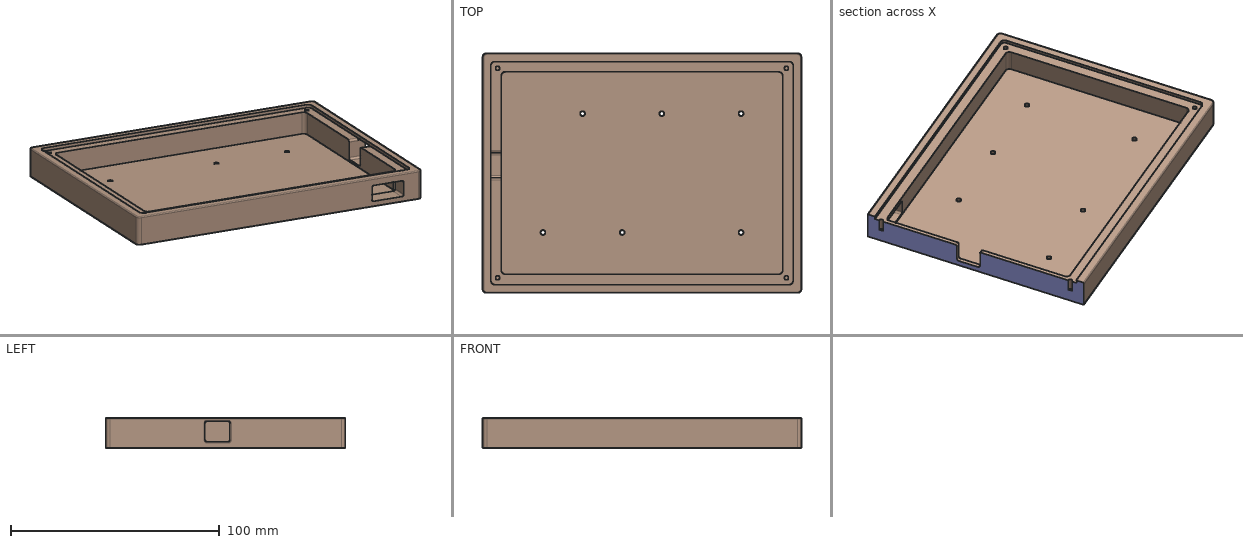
import cadquery as cq

LENGTH = 153.0
WIDTH = 115.0
HEIGHT = 14.5
CORNER_RADIUS = 2.0
EDGE_FILLET = 0.5

RIM_WIDTH = 4.0
LEDGE_DEPTH = 1.6
LEDGE_WIDTH = 5.0
FLOOR_THICKNESS = 2.0
LEDGE_Z = HEIGHT - LEDGE_DEPTH
LEDGE_LENGTH_X = LENGTH - 2 * RIM_WIDTH
LEDGE_LENGTH_Y = WIDTH - 2 * RIM_WIDTH
CAVITY_LENGTH = LEDGE_LENGTH_X - 2 * LEDGE_WIDTH
CAVITY_WIDTH = LEDGE_LENGTH_Y - 2 * LEDGE_WIDTH
WALL_THICKNESS = RIM_WIDTH + LEDGE_WIDTH

LID_HOLE_DIAMETER = 2.0
LID_HOLE_DEPTH = 6.0
LID_HOLE_X = 69.25
LID_HOLE_Y = 50.25

FLOOR_HOLE_DIAMETER = 2.2
GRID_PITCH = 19.0
FLOOR_HOLE_ROW = 1.5
FLOOR_HOLE_Y = FLOOR_HOLE_ROW * GRID_PITCH
BACK_ROW_COLUMNS = (-1.5, 0.5, 2.5)
FRONT_ROW_COLUMNS = (-2.5, -0.5, 2.5)

PORT_RADIUS = 1.0

SIDE_FACE_X = -LENGTH / 2
SIDE_PORT_WIDTH = 12.0
SIDE_PORT_BOTTOM = 3.1
SIDE_PORT_Y = 3.85

BACK_PORT_RIGHT_X = -49.65
BACK_PORT_WIDTH = 17.0
BACK_PORT_BOTTOM = 2.75
BACK_PORT_TOP = 10.75


def rounded_block(length, width, bottom, top):
    """Block centred on the Z axis with rounded vertical corners."""
    block = cq.Workplane("XY").workplane(offset=bottom).rect(length, width).extrude(top - bottom)
    return block.edges("|Z").fillet(CORNER_RADIUS)


def make_tray():
    """Stepped open tray with rounded outer rims."""
    body = rounded_block(LENGTH, WIDTH, 0, HEIGHT).faces("<Z or >Z").fillet(EDGE_FILLET)
    ledge = rounded_block(LEDGE_LENGTH_X, LEDGE_LENGTH_Y, LEDGE_Z, HEIGHT)
    cavity = rounded_block(CAVITY_LENGTH, CAVITY_WIDTH, FLOOR_THICKNESS, HEIGHT)
    return body.cut(ledge).cut(cavity)


def side_port():
    """Tunnel through the -X wall level with the ledge; its roofless inner part flares out on top."""
    height = LEDGE_Z - SIDE_PORT_BOTTOM
    outer_face = cq.Workplane("YZ", origin=(SIDE_FACE_X, SIDE_PORT_Y, SIDE_PORT_BOTTOM + height / 2))
    tunnel = outer_face.rect(SIDE_PORT_WIDTH, height).extrude(WALL_THICKNESS).edges("|X").fillet(PORT_RADIUS)

    half_width = SIDE_PORT_WIDTH / 2
    flare_bottom = LEDGE_Z - PORT_RADIUS
    flare = (
        cq.Workplane("YZ", origin=(SIDE_FACE_X + RIM_WIDTH, SIDE_PORT_Y, 0))
        .moveTo(-half_width, flare_bottom)
        .lineTo(half_width, flare_bottom)
        .radiusArc((half_width + PORT_RADIUS, LEDGE_Z), PORT_RADIUS)
        .lineTo(-half_width - PORT_RADIUS, LEDGE_Z)
        .radiusArc((-half_width, flare_bottom), PORT_RADIUS)
        .close().extrude(LEDGE_WIDTH)
    )
    return tunnel.union(flare)


def round_side_port_mouth(body):
    """Round the edge loop where the side port meets the -X face."""
    margin = EDGE_FILLET
    around_mouth = cq.selectors.BoxSelector(
        (SIDE_FACE_X - margin, SIDE_PORT_Y - SIDE_PORT_WIDTH / 2 - margin, SIDE_PORT_BOTTOM - margin),
        (SIDE_FACE_X + margin, SIDE_PORT_Y + SIDE_PORT_WIDTH / 2 + margin, LEDGE_Z + margin),
    )
    return body.faces("<X").edges(around_mouth).fillet(EDGE_FILLET)


def back_port():
    """Rounded tunnel through the +Y wall, below the ledge."""
    height = BACK_PORT_TOP - BACK_PORT_BOTTOM
    tunnel = cq.Workplane("XY").box(BACK_PORT_WIDTH, WALL_THICKNESS, height).edges("|Y").fillet(PORT_RADIUS)
    center_x = BACK_PORT_RIGHT_X - BACK_PORT_WIDTH / 2
    center_y = (WIDTH - WALL_THICKNESS) / 2
    return tunnel.translate((center_x, center_y, BACK_PORT_BOTTOM + height / 2))


def lid_holes():
    """Blind holes in the four ledge corners."""
    return (
        cq.Workplane("XY").workplane(offset=LEDGE_Z)
        .rect(2 * LID_HOLE_X, 2 * LID_HOLE_Y, forConstruction=True).vertices()
        .circle(LID_HOLE_DIAMETER / 2).extrude(-LID_HOLE_DEPTH)
    )


def floor_holes():
    """Two rows of through holes in the floor."""
    points = [(column * GRID_PITCH, FLOOR_HOLE_Y) for column in BACK_ROW_COLUMNS]
    points += [(column * GRID_PITCH, -FLOOR_HOLE_Y) for column in FRONT_ROW_COLUMNS]
    return cq.Workplane("XY").pushPoints(points).circle(FLOOR_HOLE_DIAMETER / 2).extrude(FLOOR_THICKNESS)


result = make_tray().cut(side_port())
result = round_side_port_mouth(result)
for cutter in (back_port(), lid_holes(), floor_holes()):
    result = result.cut(cutter)